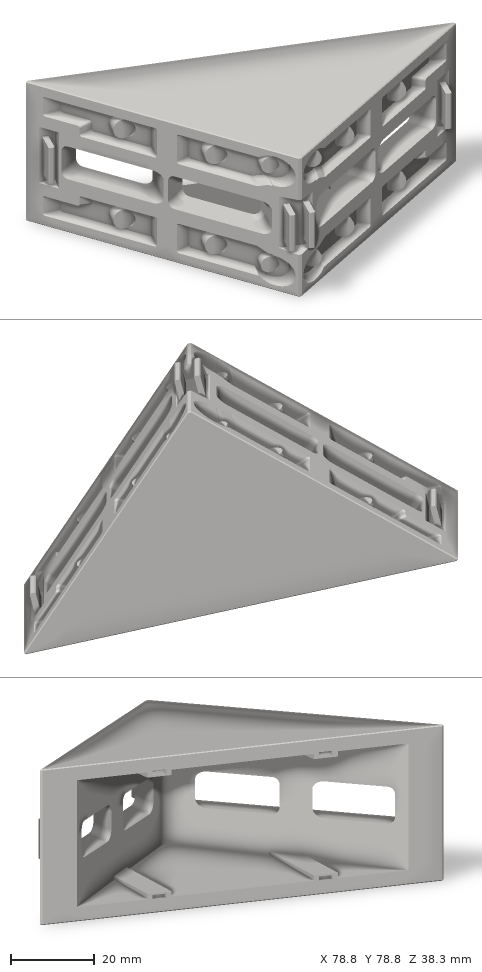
import cadquery as cq
import math


leg_length = 75.5
height = 38.29
slant_reach = 76.2
corner_chamfer = 0.6
edge_chamfer = 0.25
wall = 7.1

hollow_half_height = 15.6
roof_draft = 2.0
hollow_corner_radius = 2.0

rib_offset = 22.0
rib_width = 6.4
rib_half_gap = 14.3
rib_draft = 1.0
latch_width = 3.6
latch_depth = 1.5
latch_bottom = 14.7
latch_top = 15.85

slot_half_height = 4.5
slot_reaches = [(65.7, 37.6), (36.4, 7.8)]
slot_far_radius = 1.8
slot_near_radius = 2.2
slot_overrun = 1.0

pocket_depth = 2.9
pocket_top = 16.3
pocket_bottom = 8.2
pocket_step_height = 11.0
wall_inset = 0.55
step_inset = 1.7
end_inset = 3.3
outer_pocket_far = 70.8
outer_pocket_step = 60.7
outer_pocket_near = 39.5
inner_pocket_far = 34.0
inner_pocket_neck = 11.9
corner_rounding = 0.6

pin_diameter = 5.2
pin_height = 12.4
pin_reaches = [50.6, 25.4]
small_pin_diameter = 4.3
small_pin_height = 13.65
small_pin_reach = 10.5
pin_advance = 1.3
pin_root = 2.5
seat_floor_radius = 3.65
seat_slope = 0.09
neck_length = 1.3
neck_bottom = 9.4

tab_half_height = 4.87
tab_thickness = 1.5
tab_length = 6.5
tab_projection = 3.32
tab_tip_chamfer = 0.3
tab_reaches = [4.5, 70.7]
notch_half_height = 7.7
notch_far = 71.9
notch_near = 66.4
notch_floor_width = 0.6
corner_notch_half_height = 7.6
corner_notch_reach = 5.9

diagonal = math.sqrt(2)
half_height = height / 2
slant_distance = slant_reach / diagonal
span = 2 * leg_length
tab_axis = cq.Vector(1, -1, 0)
leg_mirror_normal = cq.Vector(1, 1, 0)


def prism(points, half):
    """XY outline extruded from -half to +half in z."""
    return cq.Workplane("XY").workplane(offset=-half).polyline(points).close().extrude(2 * half)


def edge_at(x, y):
    return cq.selectors.NearestToPointSelector((x, y, 0))


def mirror_in_z(shape):
    return shape.union(shape.mirror("XY"))


def mirror_to_other_leg(shape):
    return shape.union(shape.mirror(leg_mirror_normal))


def body():
    tip = slant_reach - leg_length
    outline = [(0, 0), (-leg_length, 0), (-leg_length, tip), (-tip, leg_length), (0, leg_length)]
    block = prism(outline, half_height)
    block = block.edges("|Z").edges(edge_at(0, 0)).chamfer(corner_chamfer)
    return block.faces("|Z").edges().chamfer(edge_chamfer)


def slant_block(along, width, half, taper=0.0):
    """Block reaching from the slanted side in to the right-angle corner.

    "along" is its middle, measured up the slanted side; "taper" closes its z faces inwards.
    """
    loss = slant_distance * math.tan(math.radians(taper))
    corner = along / diagonal
    plane = cq.Plane(origin=(corner, corner, 0), xDir=(1, 1, 0), normal=(-1, 1, 0))
    return (
        cq.Workplane(plane)
        .rect(width, 2 * (half - loss))
        .workplane(offset=slant_distance)
        .rect(width, 2 * half)
        .loft(ruled=True)
    )


def latch_pocket(along):
    plane = cq.Plane(
        origin=((along - slant_distance) / diagonal, (along + slant_distance) / diagonal, 0),
        xDir=(1, 1, 0),
        normal=(-1, 1, 0),
    )
    middle = (latch_bottom + latch_top) / 2
    pocket = cq.Workplane(plane).center(0, middle).rect(latch_width, latch_top - latch_bottom)
    return mirror_in_z(pocket.extrude(-latch_depth))


def hollow():
    far = slant_reach - wall
    space = prism([(-wall, wall), (-far, wall), (-wall, far)], half_height)
    space = space.edges("|Z").edges(edge_at(-wall, wall)).fillet(hollow_corner_radius)
    space = space.intersect(slant_block(0, span, hollow_half_height, roof_draft))
    for along in (-rib_offset, rib_offset):
        rib_gap = slant_block(along, rib_width, rib_half_gap, rib_draft)
        ribs = slant_block(along, rib_width, half_height).cut(rib_gap)
        space = space.cut(ribs).union(latch_pocket(along))
    return space


def slot(far, near):
    """Long slot: square to the leg at its far end, 45 degrees at its near end."""
    depth = wall + slot_overrun
    outline = [(-far, 0), (-near, 0), (-near - depth, depth), (-far, depth)]
    cutter = prism(outline, slot_half_height)
    cutter = cutter.faces("<X").edges("|Y").fillet(slot_far_radius)
    return cutter.edges(cq.selectors.ParallelDirSelector(tab_axis)).fillet(slot_near_radius)


def tapered_pocket(face, floor, depth):
    """Pocket from an outline on the leg face to one on its floor, both as (reach, z) points."""
    return (
        cq.Workplane("XZ")
        .polyline([(-reach, z) for reach, z in face])
        .close()
        .workplane(offset=-depth)
        .polyline([(-reach, z) for reach, z in floor])
        .close()
        .loft(ruled=True)
    )


def outer_pocket():
    face = [
        (outer_pocket_far, pocket_top),
        (outer_pocket_near, pocket_top),
        (outer_pocket_near, pocket_bottom),
        (outer_pocket_step, pocket_bottom),
        (outer_pocket_step, pocket_step_height),
        (outer_pocket_far, pocket_step_height),
    ]
    floor_far = outer_pocket_far - end_inset
    floor_near = outer_pocket_near + end_inset
    floor_step = outer_pocket_step - step_inset
    floor = [
        (floor_far, pocket_top - wall_inset),
        (floor_near, pocket_top - wall_inset),
        (floor_near, pocket_bottom + wall_inset),
        (floor_step, pocket_bottom + wall_inset),
        (floor_step, pocket_step_height + wall_inset),
        (floor_far, pocket_step_height + wall_inset),
    ]
    cutter = tapered_pocket(face, floor, pocket_depth)
    return cutter.edges("not #Y").fillet(corner_rounding)


def pin_axis_cylinder(diameter, reach, z, start, end):
    """Cylinder on the 45 degree axis that crosses the pocket floor at the given reach.

    "start" and "end" are measured from the floor outwards along the axis.
    """
    plane = cq.Plane(origin=(-reach, pocket_depth, z), xDir=(0, 0, 1), normal=tab_axis.toTuple())
    return cq.Workplane(plane).workplane(offset=start).circle(diameter / 2).extrude(end - start)


def round_seat():
    """Cone around the small pin, kept between the leg face and the pocket floor."""
    cone_length = seat_floor_radius / seat_slope
    floor_center = cq.Vector(-small_pin_reach, pocket_depth, small_pin_height)
    apex = floor_center - tab_axis.normalized() * cone_length
    cone = cq.Solid.makeCone(0, 2 * seat_floor_radius, 2 * cone_length, apex, tab_axis)
    between_face_and_floor = cq.Workplane("XZ").rect(span, span).extrude(-pocket_depth)
    return between_face_and_floor.intersect(cq.Workplane(cone))


def inner_pocket():
    """Pocket whose neck runs into a round seat around the small pin."""
    seat_reach = small_pin_reach - pocket_depth
    face = [
        (inner_pocket_far, pocket_top),
        (seat_reach, pocket_top),
        (seat_reach, neck_bottom),
        (seat_reach + neck_length, neck_bottom),
        (inner_pocket_neck, pocket_bottom),
        (inner_pocket_far, pocket_bottom),
    ]
    floor = [
        (inner_pocket_far - step_inset, pocket_top - wall_inset),
        (small_pin_reach, pocket_top - wall_inset),
        (small_pin_reach, neck_bottom + wall_inset),
        (small_pin_reach + neck_length, neck_bottom + wall_inset),
        (inner_pocket_neck + end_inset, pocket_bottom + wall_inset),
        (inner_pocket_far - step_inset, pocket_bottom + wall_inset),
    ]
    neck = tapered_pocket(face, floor, pocket_depth)
    neck = neck.faces("<X").edges("not #Y").fillet(corner_rounding)
    return neck.union(round_seat())


def pins():
    """Pins with the clear space in front of their ends: (solid, space)."""
    places = [(pin_diameter, reach, pin_height) for reach in pin_reaches]
    places.append((small_pin_diameter, small_pin_reach, small_pin_height))
    clear_end = pocket_depth * diagonal
    solid = cq.Workplane("XY")
    space = cq.Workplane("XY")
    for place in places:
        solid = solid.add(pin_axis_cylinder(*place, -pin_root, pin_advance))
        space = space.add(pin_axis_cylinder(*place, pin_advance, clear_end))
    return mirror_in_z(solid.combine()), mirror_in_z(space.combine())


def end_notch():
    """V-shaped notch around the tab near the leg's tip."""
    depth = (notch_far - notch_near - notch_floor_width) / 2
    floor_half = notch_half_height - wall_inset
    face = [
        (notch_far, notch_half_height),
        (notch_near, notch_half_height),
        (notch_near, -notch_half_height),
        (notch_far, -notch_half_height),
    ]
    floor = [
        (notch_far - depth, floor_half),
        (notch_near + depth, floor_half),
        (notch_near + depth, -floor_half),
        (notch_far - depth, -floor_half),
    ]
    return tapered_pocket(face, floor, depth)


def corner_notch():
    """Notch that cuts off the right-angle corner at 45 degrees; shared by both legs."""
    middle = corner_notch_reach / 2
    depth = corner_notch_reach / diagonal
    flare = math.degrees(math.atan(wall_inset / depth))
    plane = cq.Plane(origin=(-middle, middle, 0), xDir=(1, 1, 0), normal=tab_axis.toTuple())
    floor = cq.Workplane(plane).rect(2 * depth, 2 * (corner_notch_half_height - wall_inset))
    return floor.extrude(depth, taper=-flare)


def tab(reach):
    """Flat tab standing out along the 45 degree axis."""
    side = tab_thickness / diagonal
    back = tab_length / diagonal
    tip = tab_projection + tab_tip_chamfer / diagonal
    tip_x = tip - reach
    tip_y = -tip
    outline = [
        (tip_x, tip_y),
        (tip_x + side, tip_y + side),
        (tip_x + side - back, tip_y + side + back),
        (tip_x - back, tip_y + back),
    ]
    blade = prism(outline, tab_half_height)
    tip_face = cq.selectors.DirectionMinMaxSelector(tab_axis, True)
    return blade.faces(tip_face).edges("|Z").chamfer(tab_tip_chamfer)


def leg_cutters():
    cutters = mirror_in_z(outer_pocket().union(inner_pocket())).union(end_notch())
    for far, near in slot_reaches:
        cutters = cutters.union(slot(far, near))
    return cutters


pin_solid, pin_space = pins()
tabs = tab(tab_reaches[0]).union(tab(tab_reaches[1]))

result = body().cut(hollow())
result = result.cut(mirror_to_other_leg(leg_cutters())).cut(corner_notch())
result = result.union(mirror_to_other_leg(pin_solid)).cut(mirror_to_other_leg(pin_space))
result = result.union(mirror_to_other_leg(tabs))